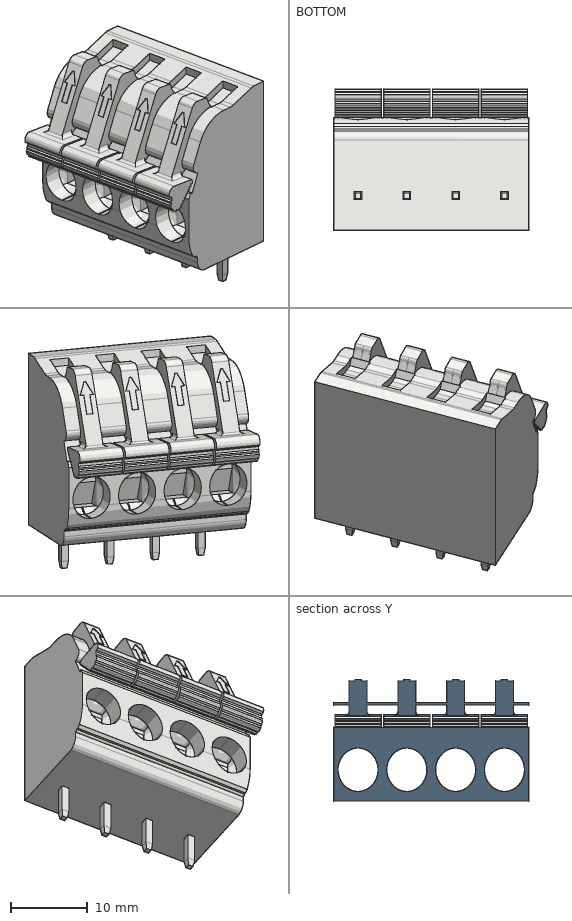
import cadquery as cq
import math


POLES = 4
PITCH = 6.35
WIDTH = POLES * PITCH

HOUSING_HEIGHT = 23.0
FRONT_DEPTH = 14.68
RIDGE_DEPTH = 2.02
SLOPE_START = (2.43, 22.87)
SLOPE_END = (5.95, 21.67)
TOP_HEIGHT = 21.56
TOP_START = 6.57
SHOULDER_START = 7.79
SHOULDER_RADIUS = 5.1
SHOULDER_ANGLE = math.radians(65)
NOSE_TOP = (13.7, 15.83)
NOSE_MIDDLE = (13.72, 14.95)
NOSE_BOTTOM = (13.1, 14.4)
RECESS_TOP = (12.93, 14.31)
RECESS_BOTTOM = (14.0, 11.85)
LEDGE_DEPTH = 14.34
FRONT_TOP = 11.15
BELLY_TOP = 5.67
BELLY_RADIUS = 5.8
BELLY_BOTTOM = 2.8
TOE_DEPTH = 12.94
TOE_TOP = 2.46
TOE_LIP = 13.5
TOE_FILLET = 0.27
FOOT_RADIUS = 1.44
FOOT_SETBACK = 1.15

SLOT_WIDTH = 2.6
SLOT_BACK = 2.98
SLOT_FLOOR_BACK = 21.68
SLOT_FLOOR_BEND = (5.54, 20.76)
SLOT_FLOOR_FRONT = 20.6
SLOT_RAMP_START = 7.49
SLOT_RAMP_END = 8.07
SLOT_CLEARANCE = 1.0

ARM_WIDTH = 2.35
ARM_BACK = [(8.51, 22.13), (8.77, 22.8), (9.12, 23.14)]
ARM_BACK_END_DIRECTION = (1, 0.1)
ARM_TOP = 23.27
ARM_TOP_FRONT = 10.76
ARM_CROWN_MIDDLE = (11.38, 23.08)
ARM_FACE_TOP = (11.77, 22.63)
ARM_FACE_BOTTOM = (15.92, 13.9)
ARM_FOOT = (15.5, 13.3)
ARM_HEEL = (13.3, 14.15)
ARM_ROOT_BOTTOM = (12.6, 15.0)
ARM_ROOT_TOP = (9.0, 20.06)
KEY_GAP = 0.3
KEY_WIDTH = PITCH - KEY_GAP
KEY_TOP_BACK = (13.96, 13.73)
KEY_TOP_FRONT = (17.4, 13.97)
KEY_ROUND_MIDDLE = (18.1, 13.68)
KEY_ROUND_END = (18.33, 12.75)
FLARE = 0.55
FLARE_FRONT = 16.27
FLARE_TOP = (15.74, 14.25)
KEY_NECK_TOP = (17.96, 12.6)
KEY_NECK = (17.83, 12.43)
KEY_TEETH_START = (17.83, 12.05)
KEY_TOOTH_ROWS = [
    ((18.0, 11.2), 2),
    ((17.35, 10.36), 2),
    ((16.25, 10.42), 2),
    ((13.75, 13.45), 8),
]
TOOTH_HEIGHT = 0.13
ARROW_RAISE = 0.07
ARROW_TIP = 21.8
ARROW_SHOULDER = 20.2
ARROW_TAIL = 17.9
ARROW_HEAD_WIDTH = 1.84
ARROW_SHAFT_WIDTH = 0.85
ARROW_TIP_ROUND = 0.2

ENTRY_HEIGHT = 6.8
ENTRY_HALF_WIDTH = 2.59
ENTRY_HALF_HEIGHT = 2.81
BORE_LENGTH = 2.5
FUNNEL_LENGTH = 0.9
FUNNEL_START = FRONT_DEPTH - BORE_LENGTH
FUNNEL_END = FUNNEL_START - FUNNEL_LENGTH
CHAMBER_WIDTH = 3.79
CHAMBER_FLOOR = 4.74
CHAMBER_CEILING = 8.65
CHAMBER_STEP = 8.0
CHAMBER_DEPTH_TOP = 11.1
CHAMBER_DEPTH_FLOOR = 9.8
GROOVE_WIDTH = 0.15

PIN_SIZE = 1.0
PIN_DEPTH = 4.53
PIN_LENGTH = 5.0
PIN_TIP_LENGTH = 1.0
PIN_TIP_SIZE = 0.7
PIN_EMBED = 0.5


def at(depth, height):
    """Side-plane point for a depth in front of the back face and a height."""
    return (-depth, height)


def side_plane(center_x=0.0):
    return cq.Workplane("YZ", origin=(center_x, 0, 0))


def pole_centers():
    return [(i - (POLES - 1) / 2) * PITCH for i in range(POLES)]


def shoulder_point(angle):
    """Point on the round shoulder after turning down by the angle."""
    return at(
        SHOULDER_START + SHOULDER_RADIUS * math.sin(angle),
        TOP_HEIGHT - SHOULDER_RADIUS * (1 - math.cos(angle)),
    )


def belly_point(height):
    """Point on the round lower front of the housing."""
    drop = BELLY_TOP - height
    return at(FRONT_DEPTH - BELLY_RADIUS + math.sqrt(BELLY_RADIUS**2 - drop**2), height)


def make_housing():
    belly_end = belly_point(BELLY_BOTTOM)
    belly_middle = belly_point((BELLY_TOP + BELLY_BOTTOM) / 2)
    foot_back = at(TOE_DEPTH - FOOT_SETBACK, 0)
    outline = (
        side_plane()
        .moveTo(0, 0)
        .lineTo(0, HOUSING_HEIGHT)
        .lineTo(*at(RIDGE_DEPTH, HOUSING_HEIGHT))
        .lineTo(*at(*SLOPE_START))
        .lineTo(*at(*SLOPE_END))
        .tangentArcPoint(at(TOP_START, TOP_HEIGHT), relative=False)
        .lineTo(*at(SHOULDER_START, TOP_HEIGHT))
        .threePointArc(shoulder_point(SHOULDER_ANGLE / 2), shoulder_point(SHOULDER_ANGLE))
        .lineTo(*at(*NOSE_TOP))
        .threePointArc(at(*NOSE_MIDDLE), at(*NOSE_BOTTOM))
        .lineTo(*at(*RECESS_TOP))
        .lineTo(*at(*RECESS_BOTTOM))
        .lineTo(*at(LEDGE_DEPTH, RECESS_BOTTOM[1]))
        .lineTo(*at(FRONT_DEPTH, FRONT_TOP))
        .lineTo(*at(FRONT_DEPTH, BELLY_TOP))
        .threePointArc(belly_middle, belly_end)
        .lineTo(*at(TOE_LIP, TOE_TOP))
        .lineTo(*at(TOE_DEPTH + TOE_FILLET, TOE_TOP))
        .radiusArc(at(TOE_DEPTH, TOE_TOP - TOE_FILLET), -TOE_FILLET)
        .lineTo(*at(TOE_DEPTH, FOOT_RADIUS))
        .radiusArc(foot_back, -FOOT_RADIUS)
        .close()
    )
    return outline.extrude(WIDTH / 2, both=True)


def make_slot(center_x):
    clear_height = HOUSING_HEIGHT + SLOT_CLEARANCE
    return (
        side_plane(center_x)
        .moveTo(*at(SLOT_BACK, clear_height))
        .lineTo(*at(SLOT_BACK, SLOT_FLOOR_BACK))
        .lineTo(*at(*SLOT_FLOOR_BEND))
        .lineTo(*at(TOP_START, SLOT_FLOOR_FRONT))
        .lineTo(*at(SLOT_RAMP_START, SLOT_FLOOR_FRONT))
        .lineTo(*at(SLOT_RAMP_END, TOP_HEIGHT))
        .lineTo(*at(SLOT_RAMP_END, clear_height))
        .close()
        .extrude(SLOT_WIDTH / 2, both=True)
    )


def make_arm(center_x):
    back_points = [at(*point) for point in ARM_BACK]
    ramp = at(SLOT_RAMP_END - SLOT_RAMP_START, TOP_HEIGHT - SLOT_FLOOR_FRONT)
    return (
        side_plane(center_x)
        .moveTo(*at(SLOT_RAMP_END, TOP_HEIGHT))
        .spline(back_points, [ramp, at(*ARM_BACK_END_DIRECTION)], includeCurrent=True)
        .lineTo(*at(ARM_TOP_FRONT, ARM_TOP))
        .threePointArc(at(*ARM_CROWN_MIDDLE), at(*ARM_FACE_TOP))
        .lineTo(*at(*ARM_FACE_BOTTOM))
        .lineTo(*at(*ARM_FOOT))
        .lineTo(*at(*KEY_TOP_BACK))
        .lineTo(*at(*ARM_HEEL))
        .lineTo(*at(*NOSE_BOTTOM))
        .lineTo(*at(*ARM_ROOT_BOTTOM))
        .lineTo(*at(*ARM_ROOT_TOP))
        .close()
        .extrude(ARM_WIDTH / 2, both=True)
    )


def toothed_edge(start, end, count):
    """Points of a row of teeth from start to end, standing out to the right of travel."""
    length = math.dist(start, end)
    along = ((end[0] - start[0]) / length, (end[1] - start[1]) / length)
    points = []
    for i in range(count):
        peak = length * (i + 0.5) / count
        root = length * (i + 1) / count
        points.append((
            start[0] + along[0] * peak + along[1] * TOOTH_HEIGHT,
            start[1] + along[1] * peak - along[0] * TOOTH_HEIGHT,
        ))
        points.append((start[0] + along[0] * root, start[1] + along[1] * root))
    return points


def make_key(center_x):
    outline = (
        side_plane(center_x)
        .moveTo(*at(*KEY_TOP_BACK))
        .lineTo(*at(*KEY_TOP_FRONT))
        .threePointArc(at(*KEY_ROUND_MIDDLE), at(*KEY_ROUND_END))
        .lineTo(*at(*KEY_NECK_TOP))
        .lineTo(*at(*KEY_NECK))
        .lineTo(*at(*KEY_TEETH_START))
    )
    row_start = at(*KEY_TEETH_START)
    for row_end, teeth in KEY_TOOTH_ROWS:
        for point in toothed_edge(row_start, at(*row_end), teeth):
            outline = outline.lineTo(*point)
        row_start = at(*row_end)
    return outline.close().extrude(KEY_WIDTH / 2, both=True)


def make_arrow(center_x):
    """Arrow standing slightly proud of the sloping arm face."""
    face_run = ARM_FACE_BOTTOM[0] - ARM_FACE_TOP[0]
    face_drop = ARM_FACE_TOP[1] - ARM_FACE_BOTTOM[1]
    stretch = math.hypot(face_run, face_drop) / face_drop
    plane = cq.Plane(
        origin=(center_x, -ARM_FACE_TOP[0], ARM_FACE_TOP[1]),
        xDir=(1, 0, 0),
        normal=(0, -face_drop, face_run),
    )

    def along_face(height):
        return (height - ARM_FACE_TOP[1]) * stretch

    head = ARROW_HEAD_WIDTH / 2
    shaft = ARROW_SHAFT_WIDTH / 2
    tip_half = ARROW_TIP_ROUND
    tip_shoulder = ARROW_TIP - ARROW_TIP_ROUND
    return (
        cq.Workplane(plane)
        .moveTo(-shaft, along_face(ARROW_TAIL))
        .lineTo(-shaft, along_face(ARROW_SHOULDER))
        .lineTo(-head, along_face(ARROW_SHOULDER))
        .lineTo(-tip_half, along_face(tip_shoulder))
        .threePointArc((0, along_face(ARROW_TIP)), (tip_half, along_face(tip_shoulder)))
        .lineTo(head, along_face(ARROW_SHOULDER))
        .lineTo(shaft, along_face(ARROW_SHOULDER))
        .lineTo(shaft, along_face(ARROW_TAIL))
        .close()
        .extrude(ARROW_RAISE, both=True)
    )


def make_flare(center_x):
    """Concave flare around the sides and front of the arm where it meets the key."""
    run = KEY_TOP_FRONT[0] - KEY_TOP_BACK[0]
    rise = KEY_TOP_FRONT[1] - KEY_TOP_BACK[1]
    inner = ARM_WIDTH / 2
    outer = inner + FLARE
    along_key_top = cq.Plane(
        origin=(center_x, -KEY_TOP_BACK[0], KEY_TOP_BACK[1]),
        xDir=(1, 0, 0),
        normal=(0, -run, rise),
    )
    sides = (
        cq.Workplane(along_key_top)
        .moveTo(-outer, -FLARE)
        .lineTo(-outer, 0)
        .radiusArc((-inner, FLARE), -FLARE)
        .lineTo(inner, FLARE)
        .radiusArc((outer, 0), -FLARE)
        .lineTo(outer, -FLARE)
        .close()
        .extrude(run)
    )
    toe = at(FLARE_FRONT, KEY_TOP_BACK[1] + rise / run * (FLARE_FRONT - KEY_TOP_BACK[0]))
    front = (
        side_plane(center_x)
        .moveTo(*toe)
        .radiusArc(at(*FLARE_TOP), -FLARE)
        .lineTo(*at(FLARE_TOP[0] - FLARE / 2, KEY_TOP_FRONT[1] + FLARE))
        .lineTo(*at(KEY_TOP_BACK[0], KEY_TOP_FRONT[1] + FLARE))
        .lineTo(*at(KEY_TOP_BACK[0], KEY_TOP_BACK[1]))
        .lineTo(*at(FLARE_FRONT, KEY_TOP_BACK[1]))
        .close()
        .extrude(outer, both=True)
    )
    return sides.intersect(front)


def make_lever(center_x):
    lever = make_arm(center_x).union(make_key(center_x))
    return lever.union(make_flare(center_x)).union(make_arrow(center_x))


def make_wire_entry(center_x):
    """Oval bore, funnel to a rectangular chamber, and a fine groove along the bottom."""
    corner_x = CHAMBER_WIDTH / 2
    corner_rise = ENTRY_HALF_HEIGHT * math.sqrt(1 - (corner_x / ENTRY_HALF_WIDTH) ** 2)
    floor = CHAMBER_FLOOR - ENTRY_HEIGHT
    ceiling = CHAMBER_CEILING - ENTRY_HEIGHT
    bore = (
        cq.Workplane("XZ", origin=(center_x, -FRONT_DEPTH, ENTRY_HEIGHT))
        .ellipse(ENTRY_HALF_WIDTH, ENTRY_HALF_HEIGHT)
        .extrude(-BORE_LENGTH)
    )
    funnel = (
        cq.Workplane("XZ", origin=(center_x, -FUNNEL_START, ENTRY_HEIGHT))
        .moveTo(-corner_x, -corner_rise)
        .threePointArc((0, -ENTRY_HALF_HEIGHT), (corner_x, -corner_rise))
        .threePointArc((ENTRY_HALF_WIDTH, 0), (corner_x, corner_rise))
        .threePointArc((0, ENTRY_HALF_HEIGHT), (-corner_x, corner_rise))
        .threePointArc((-ENTRY_HALF_WIDTH, 0), (-corner_x, -corner_rise))
        .close()
        .workplane(offset=-FUNNEL_LENGTH)
        .moveTo(-corner_x, floor)
        .lineTo(corner_x, floor)
        .lineTo(corner_x, ceiling)
        .lineTo(-corner_x, ceiling)
        .close()
        .loft(ruled=True)
    )
    chamber = (
        side_plane(center_x)
        .moveTo(*at(FUNNEL_END, CHAMBER_FLOOR))
        .lineTo(*at(CHAMBER_DEPTH_FLOOR, CHAMBER_FLOOR))
        .lineTo(*at(CHAMBER_DEPTH_TOP, CHAMBER_STEP))
        .lineTo(*at(CHAMBER_DEPTH_TOP, CHAMBER_CEILING))
        .lineTo(*at(FUNNEL_END, CHAMBER_CEILING))
        .close()
        .extrude(CHAMBER_WIDTH / 2, both=True)
    )
    groove_floor = ENTRY_HEIGHT - ENTRY_HALF_HEIGHT
    groove = cq.Workplane("XY").box(
        GROOVE_WIDTH,
        FRONT_DEPTH - FUNNEL_END,
        ENTRY_HALF_HEIGHT,
        centered=(True, False, False),
    ).translate((center_x, -FRONT_DEPTH, groove_floor))
    return bore.union(funnel).union(chamber).union(groove)


def make_pin(center_x):
    shank_bottom = PIN_TIP_LENGTH - PIN_LENGTH
    shank = (
        cq.Workplane("XY", origin=(center_x, -PIN_DEPTH, shank_bottom))
        .rect(PIN_SIZE, PIN_SIZE)
        .extrude(PIN_EMBED - shank_bottom)
    )
    tip = (
        cq.Workplane("XY", origin=(center_x, -PIN_DEPTH, shank_bottom))
        .rect(PIN_SIZE, PIN_SIZE)
        .workplane(offset=-PIN_TIP_LENGTH)
        .rect(PIN_TIP_SIZE, PIN_TIP_SIZE)
        .loft()
    )
    return shank.union(tip)


result = make_housing()
for pole_x in pole_centers():
    result = result.cut(make_slot(pole_x)).cut(make_wire_entry(pole_x))
    result = result.union(make_lever(pole_x)).union(make_pin(pole_x))